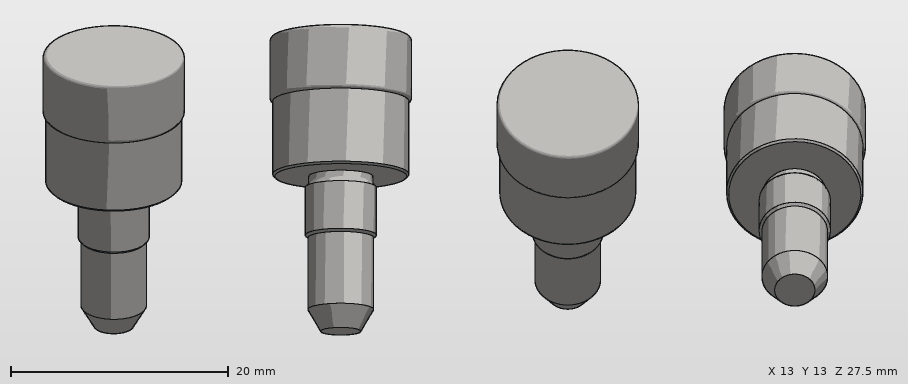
import cadquery as cq
import math

total_length = 27.5

cap_radius = 13.0 / 2
cap_length = 6.0
cap_top_round = 0.38
cap_bottom_round = 0.33
collar_radius = 12.5 / 2
collar_length = 7.0
collar_chamfer = 0.2

neck_radius = 5.88 / 2
neck_length = 0.55
neck_fillet = 0.38
band_radius = 6.55 / 2
band_length = 5.2
band_chamfer = 0.25
shank_radius = 6.05 / 2
tip_length = 2.04
tip_half_angle = 30.0

cap_bottom = total_length - cap_length
collar_bottom = cap_bottom - collar_length
neck_bottom = collar_bottom - neck_length
band_bottom = neck_bottom - band_length
tip_radius = shank_radius - tip_length * math.tan(math.radians(tip_half_angle))

fillet_turn = math.radians(45)
fillet_run = neck_fillet * (1 - math.cos(fillet_turn))
fillet_drop = neck_fillet * math.sin(fillet_turn)
fillet_mid_run = neck_fillet * (1 - math.cos(fillet_turn / 2))
fillet_mid_drop = neck_fillet * math.sin(fillet_turn / 2)
cone_start_radius = neck_radius + fillet_run
cone_start = neck_bottom - fillet_drop
cone_end = cone_start - (band_radius - cone_start_radius)


def make_head():
    cap = cq.Workplane("XY").workplane(offset=cap_bottom).circle(cap_radius).extrude(cap_length)
    cap = cap.faces(">Z").edges().fillet(cap_top_round)
    cap = cap.faces("<Z").edges().fillet(cap_bottom_round)
    collar = cq.Workplane("XY").workplane(offset=collar_bottom).circle(collar_radius)
    collar = collar.extrude(collar_length + cap_bottom_round)
    collar = collar.faces("<Z").edges().chamfer(collar_chamfer)
    return cap.union(collar)


def make_stem():
    profile = (
        cq.Workplane("XZ")
        .lineTo(tip_radius, 0)
        .lineTo(shank_radius, tip_length)
        .lineTo(shank_radius, band_bottom)
        .lineTo(band_radius, band_bottom + band_chamfer)
        .lineTo(band_radius, cone_end)
        .lineTo(cone_start_radius, cone_start)
        .threePointArc(
            (neck_radius + fillet_mid_run, neck_bottom - fillet_mid_drop),
            (neck_radius, neck_bottom),
        )
        .lineTo(neck_radius, cap_bottom)
        .lineTo(0, cap_bottom)
        .close()
    )
    return profile.revolve(360, (0, 0, 0), (0, 1, 0))


result = make_head().union(make_stem())